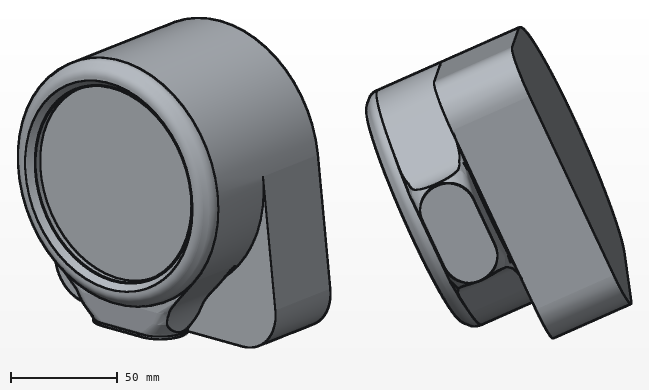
import cadquery as cq
import math

overall_height = 140.0
overall_depth = 81.0
overall_width = 134.7
drum_radius = 60.0
drum_z = overall_height - drum_radius

base_depth = 40.0
base_corner_radius = 20.0
base_corner_x = overall_width / 2 - base_corner_radius

bezel_depth = 8.1
rim_chamfer = 5.0
rim_edge_radius = 5.0
opening_radius = 51.1
opening_chamfer = 0.7
cone_end_radius = 48.0
ledge_depth = 3.4
throat_radius = 95.0 / 2
seam_y = bezel_depth - overall_depth

glass_radius = throat_radius
glass_recess = 6.7

spout_depth = 29.8
spout_y = seam_y + spout_depth / 2
spout_bottom_z = 5.0
lip_top_z = 6.5
flare_bottom_z = 7.4
taper_top_z = drum_z - drum_radius
round_top_z = 28.5
flare_half_width = 25.5
flare_start_x = 31.4
lip_half_width = 25.0
lip_depth = 26.0
lip_corner_radius = 12.9
taper_top_half_width = 31.1
taper_top_corner_radius = 8.1
taper_middle_corner_radius = 8.7
round_top_half_width = 35.3
round_top_corner_radius = 0.4
lip_overhang = flare_half_width - lip_half_width
tangent_angle = math.radians(41.2)


def cylinder_y(radius, back_y, front_y):
    """Cylinder along Y on the drum axis, from back_y forward to front_y."""
    face = cq.Workplane("XZ", origin=(0, back_y, 0)).center(0, drum_z)
    return face.circle(radius).extrude(back_y - front_y)


def make_base():
    """Plate whose straight flanks are tangent to the drum and the corner rounds."""
    centre_gap = math.hypot(base_corner_x, drum_z - base_corner_radius)
    centre_line = math.atan2(drum_z - base_corner_radius, base_corner_x)
    flank_normal = math.acos((drum_radius - base_corner_radius) / centre_gap) - centre_line
    normal_x = math.cos(flank_normal)
    normal_z = math.sin(flank_normal)
    drum_x = drum_radius * normal_x
    drum_tangent_z = drum_z + drum_radius * normal_z
    corner_x = base_corner_x + base_corner_radius * normal_x
    corner_z = base_corner_radius * (1 + normal_z)
    return (
        cq.Workplane("XZ")
        .moveTo(-base_corner_x, 0)
        .lineTo(base_corner_x, 0)
        .tangentArcPoint((corner_x, corner_z), relative=False)
        .lineTo(drum_x, drum_tangent_z)
        .threePointArc((0, overall_height), (-drum_x, drum_tangent_z))
        .lineTo(-corner_x, corner_z)
        .tangentArcPoint((-base_corner_x, 0), relative=False)
        .close()
        .extrude(base_depth)
    )


def make_flare():
    """Spout profile: flanks tangent to the drum that curve down to vertical sides."""
    tangent_x = drum_radius * math.cos(tangent_angle)
    tangent_z = drum_z - drum_radius * math.sin(tangent_angle)
    flare_start_z = tangent_z - (tangent_x - flare_start_x) / math.tan(tangent_angle)
    half = (
        cq.Workplane("XZ", origin=(0, seam_y + spout_depth, 0))
        .moveTo(0, tangent_z)
        .lineTo(tangent_x, tangent_z)
        .lineTo(flare_start_x, flare_start_z)
        .tangentArcPoint((flare_half_width, flare_bottom_z), relative=False)
        .lineTo(flare_half_width, spout_bottom_z)
        .lineTo(0, spout_bottom_z)
        .close()
        .extrude(spout_depth)
    )
    return half.union(half.mirror("YZ"))


def make_taper():
    """Envelope whose corners grow from sharp near the drum to a stadium at the lip."""
    flare_depth = lip_depth + 2 * lip_overhang
    middle_z = (flare_bottom_z + taper_top_z) / 2
    middle_half_width = (flare_half_width + taper_top_half_width) / 2
    middle_depth = (flare_depth + spout_depth) / 2
    sections = [
        (spout_bottom_z, lip_half_width, lip_depth, lip_corner_radius),
        (lip_top_z, lip_half_width, lip_depth, lip_corner_radius),
        (flare_bottom_z, flare_half_width, flare_depth, lip_corner_radius + lip_overhang),
        (middle_z, middle_half_width, middle_depth, taper_middle_corner_radius),
        (taper_top_z, taper_top_half_width, spout_depth, taper_top_corner_radius),
        (round_top_z, round_top_half_width, spout_depth, round_top_corner_radius),
    ]
    wires = []
    for z, half_width, depth, corner_radius in sections:
        outline = cq.Sketch().rect(2 * half_width, depth).vertices().fillet(corner_radius).reset()
        wires.append(outline.faces().val().outerWire().moved(cq.Location(cq.Vector(0, spout_y, z))))
    corners = cq.Workplane(cq.Solid.makeLoft(wires, True))
    shoulders = cq.Workplane("XY", origin=(0, spout_y, round_top_z))
    shoulders = shoulders.rect(2 * drum_radius, spout_depth).extrude(drum_z - round_top_z)
    return corners.union(shoulders)


def make_housing():
    """Drum, base and spout in one piece."""
    drum = cylinder_y(drum_radius, 0, seam_y)
    spout = make_flare().intersect(make_taper())
    return drum.union(make_base()).union(spout)


def make_bezel():
    """Ring with a chamfered, rounded rim and a conical opening that ends on a ledge at the throat."""
    mouth_radius = opening_radius - opening_chamfer
    mouth_y = opening_chamfer - overall_depth
    ledge_y = ledge_depth - overall_depth
    edge_run = rim_edge_radius * math.tan(math.pi / 8)
    edge_slope = edge_run * math.sqrt(0.5)
    chamfer_radius = drum_radius - rim_chamfer
    chamfer_y = rim_chamfer - overall_depth
    profile = (
        cq.Workplane("XY")
        .moveTo(throat_radius, seam_y)
        .lineTo(drum_radius, seam_y)
        .lineTo(drum_radius, chamfer_y + edge_run)
        .tangentArcPoint((drum_radius - edge_slope, chamfer_y - edge_slope), relative=False)
        .lineTo(chamfer_radius + edge_slope, edge_slope - overall_depth)
        .tangentArcPoint((chamfer_radius - edge_run, -overall_depth), relative=False)
        .lineTo(opening_radius, -overall_depth)
        .lineTo(mouth_radius, mouth_y)
        .lineTo(cone_end_radius, ledge_y)
        .lineTo(throat_radius, ledge_y)
        .close()
    )
    return profile.revolve(360, (0, 0, 0), (0, 1, 0)).translate((0, 0, drum_z))


def make_glass():
    """Flat disc filling the throat of the bezel."""
    return cylinder_y(glass_radius, seam_y, glass_recess - overall_depth)


housing = make_housing()
bezel = make_bezel()
glass = make_glass()

result = cq.Compound.makeCompound([housing.val(), bezel.val(), glass.val()])